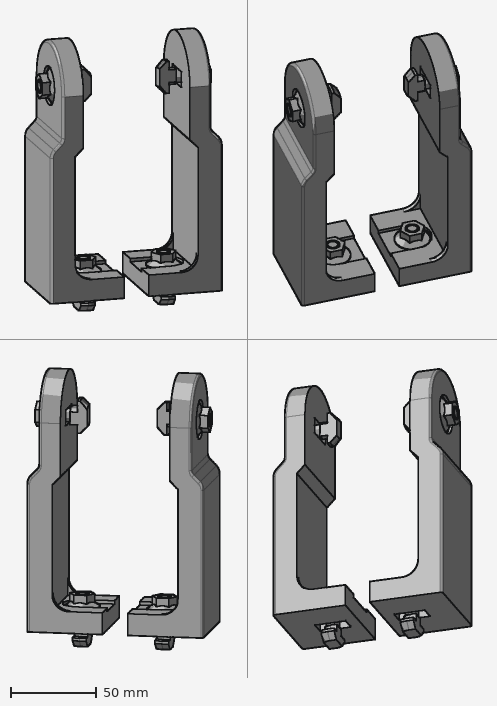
import cadquery as cq

width = 54.0
foot_gap = 15.0
foot_length = 45.0
mount_thick = 13.0
foot_thick = mount_thick
lower_thick = 15.0
upper_thick = mount_thick
outer_set_in = 7.0
eye_height = 125.0
outer_jog_z = 91.1
inner_jog_z = 88.0
convex_bend_radius = 7.0
concave_bend_radius = 4.0
outer_edge_radius = 1.5
gusset_width = 3.3
gusset_radius = 10.0

inner_end_y = foot_gap / 2
outer_y = inner_end_y + foot_length
lower_inner_y = outer_y - lower_thick
upper_outer_y = outer_y - outer_set_in
upper_inner_y = upper_outer_y - upper_thick
top_radius = width / 2
top_z = eye_height + top_radius
pick_margin = 0.1

foot_bolt_inset = 17.0
recess_diameter = 23.0
recess_depth = 2.0
passage_length = 19.0
passage_width = 9.5

shank_diameter = 8.0
shank_gap = 1.4
bolt_tip_chamfer = 1.0
tee_width = 8.4
neck_length = 9.9
neck_height = 4.5
head_length = 20.0
head_height = 5.8
head_chamfer = 4.1

flange_diameter = 21.0
flange_edge = 0.5
flange_cone_height = 3.0
nut_height = 8.0
hex_flats = 13.0
foot_nut_turn = 0
eye_nut_turn = 90

foot_bolt_y = inner_end_y + foot_bolt_inset
seat_z = mount_thick - recess_depth
nut_top_z = seat_z + nut_height

foot_frame = cq.Plane(origin=(0, foot_bolt_y, 0), xDir=(1, 0, 0), normal=(0, 0, 1))
eye_frame = cq.Plane(origin=(0, upper_inner_y, eye_height), xDir=(0, 0, 1), normal=(0, 1, 0))


def side_profile():
    """Bracket section in the YZ plane, without its bend radii."""
    return [
        (inner_end_y, 0),
        (outer_y, 0),
        (outer_y, outer_jog_z),
        (upper_outer_y, outer_jog_z + outer_set_in),
        (upper_outer_y, top_z),
        (upper_inner_y, top_z),
        (upper_inner_y, inner_jog_z + lower_inner_y - upper_inner_y),
        (lower_inner_y, inner_jog_z),
        (lower_inner_y, foot_thick),
        (inner_end_y, foot_thick),
    ]


def edge_between(y_min, y_max, z_min, z_max):
    """Selector for edges centred within the given Y and Z limits, with a small margin."""
    return cq.selectors.BoxSelector(
        (-width, y_min - pick_margin, z_min - pick_margin),
        (width, y_max + pick_margin, z_max + pick_margin),
    )


def edge_at(y, z):
    """Selector for the edge along X that lies at (y, z)."""
    return edge_between(y, y, z, z)


def bracket_plate():
    plate = cq.Workplane("YZ").polyline(side_profile()).close().extrude(width / 2, both=True)
    plate = plate.edges(edge_at(outer_y, outer_jog_z)).fillet(convex_bend_radius)
    plate = plate.edges(edge_at(upper_outer_y, outer_jog_z + outer_set_in)).fillet(concave_bend_radius)

    front_outline = (
        cq.Workplane("XZ")
        .moveTo(-top_radius, 0)
        .lineTo(top_radius, 0)
        .lineTo(top_radius, eye_height)
        .threePointArc((0, top_z), (-top_radius, eye_height))
        .close()
        .extrude(-outer_y)
    )
    plate = plate.intersect(front_outline)

    top_arc = edge_between(upper_outer_y, upper_outer_y, eye_height + pick_margin, top_z)
    return plate.edges(top_arc).fillet(outer_edge_radius)


def gussets():
    """Narrow concave webs in the corner above the foot, one at each side."""
    web = (
        cq.Workplane("YZ")
        .moveTo(lower_inner_y, foot_thick)
        .lineTo(lower_inner_y, foot_thick + gusset_radius)
        .radiusArc((lower_inner_y - gusset_radius, foot_thick), gusset_radius)
        .close()
        .extrude(gusset_width)
    )
    return web.translate((-width / 2, 0, 0)).union(web.translate((width / 2 - gusset_width, 0, 0)))


def turning_block(profile):
    """T-bolt block that can turn in a slot: a bar of the given half profile (radius, z),
    with the same profile turned about the bolt axis in two opposite quadrants."""
    mirrored = [(-x, z) for x, z in reversed(profile)]
    bar = cq.Workplane("XZ").polyline(profile + mirrored).close().extrude(tee_width / 2, both=True)

    low_z = profile[0][1]
    high_z = profile[-1][1]
    axis_points = [(0, high_z), (0, low_z)]
    turned = cq.Workplane("XZ").polyline(profile + axis_points).close().revolve(360, (0, 0), (0, 1))

    length = 2 * max(x for x, z in profile)
    quadrant = cq.Workplane("XY").box(length, length, high_z - low_z, centered=False)
    quadrant = quadrant.translate((0, 0, low_z))
    rounded_zone = quadrant.translate((-length, 0, 0)).union(quadrant.translate((0, -length, 0)))
    return bar.cut(rounded_zone).union(bar.intersect(turned))


def bolt():
    neck_z = -shank_gap - neck_height
    head_z = neck_z - head_height
    shank = (
        cq.Workplane("XY")
        .workplane(offset=neck_z)
        .circle(shank_diameter / 2)
        .extrude(nut_top_z - neck_z)
        .faces(">Z")
        .chamfer(bolt_tip_chamfer)
    )
    neck_end = neck_length / 2
    neck = turning_block([(neck_end, neck_z), (neck_end, -shank_gap)])

    head_end = head_length / 2
    head = turning_block([
        (head_end - head_chamfer, head_z),
        (head_end, head_z + head_chamfer),
        (head_end, neck_z),
    ])
    return shank.union(neck).union(head)


def nut(turn):
    """Flanged hex nut, its hexagon turned about the bolt axis by the given angle."""
    hexagon = (
        cq.Workplane("XY")
        .polygon(6, hex_flats, circumscribed=True)
        .extrude(nut_height)
        .rotate((0, 0, 0), (0, 0, 1), turn)
    )
    flange = (
        cq.Workplane("XZ")
        .lineTo(flange_diameter / 2, 0)
        .lineTo(flange_diameter / 2, flange_edge)
        .lineTo(hex_flats / 2, flange_edge + flange_cone_height)
        .lineTo(0, flange_edge + flange_cone_height)
        .close()
        .revolve(360, (0, 0), (0, 1))
    )
    bore = cq.Workplane("XY").circle(shank_diameter / 2).extrude(nut_height)
    return hexagon.union(flange).cut(bore).translate((0, 0, seat_z))


def mount_pocket():
    """Nut recess and the passage below it for the T-head, crosswise to the clamped head."""
    recess = cq.Workplane("XY").workplane(offset=seat_z).circle(recess_diameter / 2).extrude(recess_depth)
    passage = cq.Workplane("XY").rect(passage_width, passage_length).extrude(seat_z)
    return recess.union(passage)


def foot_channel():
    """Runs the foot's nut recess out through the free end of the foot."""
    return (
        cq.Workplane("XY")
        .box(recess_diameter, foot_bolt_inset, recess_depth, centered=(True, False, False))
        .translate((0, inner_end_y, seat_z))
    )


def bracket_with_fasteners():
    body = bracket_plate().union(gussets()).cut(foot_channel())
    for frame, nut_turn in ((foot_frame, foot_nut_turn), (eye_frame, eye_nut_turn)):
        place = cq.Location(frame)
        fastener = bolt().union(nut(nut_turn))
        pocket_here = mount_pocket().val().moved(place)
        fastener_here = fastener.val().moved(place)
        body = body.cut(cq.Workplane(pocket_here)).union(cq.Workplane(fastener_here))
    return body


bracket = bracket_with_fasteners()
brackets = [bracket.rotate((0, 0, 0), (0, 0, 1), turn).solids().val() for turn in (0, 180)]
result = cq.Compound.makeCompound(brackets)